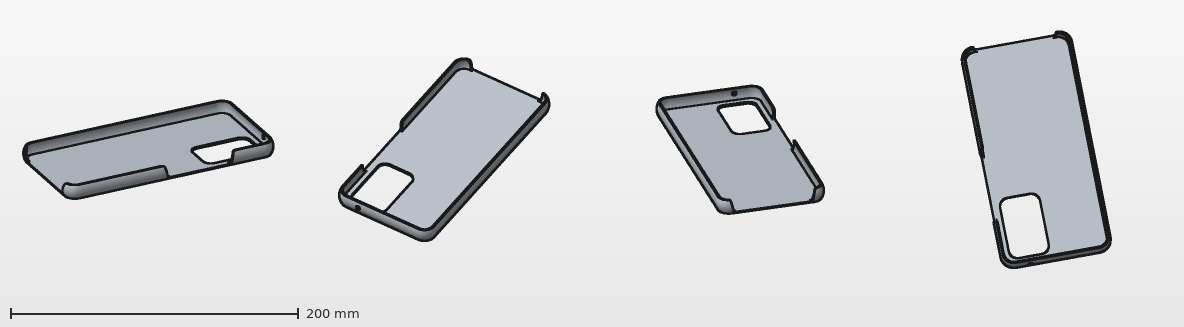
import cadquery as cq

width = 78.2
length = 162.8
height = 10.6
corner_radius = 9.5
outer_bulge = 1.6
rim_width = 1.0
floor_thickness = 1.5
cavity_bulge = 1.0

window_left = 4.0
window_right = 32.2
window_bottom = 29.3
window_top = 74.0
window_radius = 6.2

mic_x = 19.4
mic_z = 6.2
mic_diameter = 3.1

port_rim_width = 61.2
port_floor_width = 57.0
port_radius = 1.6
button_rim_width = 53.4
button_floor_width = 49.2
button_radius = 2.1
button_center_y = 20.7

cut_depth = 6.5

corner_x = width / 2 - corner_radius
corner_y = length / 2 - corner_radius


def bulged_section(plane, half_width, bottom, top, bulge):
    """Section with flat top and bottom whose two sides swell outward as arcs."""
    edge = half_width - bulge
    middle = (bottom + top) / 2
    return (
        cq.Workplane(plane)
        .moveTo(-edge, bottom)
        .lineTo(edge, bottom)
        .threePointArc((half_width, middle), (edge, top))
        .lineTo(-edge, top)
        .threePointArc((-half_width, middle), (-edge, bottom))
        .close()
    )


def bulged_block(inset, bottom, top, bulge):
    """Rounded rectangular block with swelling sides, set in from the widest outer outline."""
    across = bulged_section("XZ", width / 2 - inset, bottom, top, bulge).extrude(corner_y, both=True)
    along = bulged_section("YZ", length / 2 - inset, bottom, top, bulge).extrude(corner_x, both=True)
    block = across.union(along)

    radius = corner_radius - inset
    barrel = (
        cq.Workplane("XZ")
        .moveTo(0, bottom)
        .lineTo(radius - bulge, bottom)
        .threePointArc((radius, (bottom + top) / 2), (radius - bulge, top))
        .lineTo(0, top)
        .close()
        .revolve(360, (0, 0), (0, 1))
    )
    for x in (-corner_x, corner_x):
        for y in (-corner_y, corner_y):
            block = block.union(barrel.translate((x, y, 0)))
    return block


def wall_opening(rim_span, floor_span, radius):
    """Cutter for the -Y wall: sloped flanks, rounded into the floor and out onto the rim."""
    rim_half = rim_span / 2
    floor_half = floor_span / 2
    shoulder = rim_half + 2 * radius
    profile = (
        cq.Workplane("XZ", origin=(0, -length / 2, 0))
        .moveTo(-floor_half, floor_thickness)
        .lineTo(floor_half, floor_thickness)
        .lineTo(rim_half, height)
        .lineTo(shoulder, height)
        .lineTo(shoulder, height + radius)
        .lineTo(-shoulder, height + radius)
        .lineTo(-shoulder, height)
        .lineTo(-rim_half, height)
        .close()
    )
    reach = rim_half + radius
    flank_ends = cq.selectors.BoxSelector(
        (-reach, -length, 0),
        (reach, length, height + radius / 2),
    )
    return profile.extrude(-cut_depth).edges("|Y").edges(flank_ends).fillet(radius)


body = bulged_block(0, 0, height, outer_bulge)
cavity_inset = outer_bulge + rim_width - cavity_bulge
body = body.cut(bulged_block(cavity_inset, floor_thickness, height, cavity_bulge))

window = (
    cq.Workplane("XY")
    .center((window_left + window_right) / 2, (window_bottom + window_top) / 2)
    .rect(window_right - window_left, window_top - window_bottom)
    .extrude(floor_thickness)
    .edges("|Z")
    .fillet(window_radius)
)
body = body.cut(window)

mic_hole = (
    cq.Workplane("XZ", origin=(mic_x, length / 2, mic_z))
    .circle(mic_diameter / 2)
    .extrude(cut_depth)
)
body = body.cut(mic_hole)

body = body.cut(wall_opening(port_rim_width, port_floor_width, port_radius))

button_cutter = (
    wall_opening(button_rim_width, button_floor_width, button_radius)
    .translate((0, length / 2 - width / 2, 0))
    .rotate((0, 0, 0), (0, 0, 1), 90)
    .translate((0, button_center_y, 0))
)
result = body.cut(button_cutter)